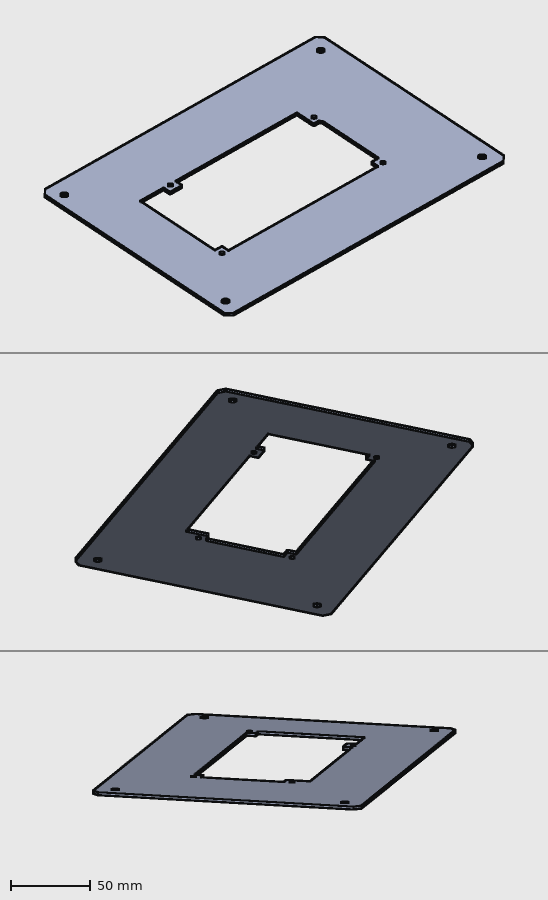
import cadquery as cq

plate_width = 174.7
plate_length = 240
plate_thickness = 2.0
corner_chamfer = 4.0

mount_hole_diameter = 4.8
mount_spacing_x = 149.8
mount_spacing_y = 220.0
mount_center_y = -1.0

window_half_width = 37.7
window_top = 60.2
window_bottom = -80.2

tab_reach = 6.0
top_left_tab_width = 15.5
top_left_tab_chamfer = 1.5
side_tab_width = 10.3
side_tab_center_y = -55.0

tab_hole_diameter = 3.0
corner_hole_x = 37.0
top_left_hole_x = -27.0
top_hole_y = 59.0
bottom_hole_y = -79.0
side_hole_x = -37.0


def make_plate():
    plate = cq.Workplane("XY").box(plate_width, plate_length, plate_thickness)
    return plate.edges("|Z").chamfer(corner_chamfer)


def make_window():
    """Through-cutting block whose outline steps around the four tabs."""
    left = -window_half_width
    right = window_half_width
    side_tab_top = side_tab_center_y + side_tab_width / 2
    side_tab_bottom = side_tab_center_y - side_tab_width / 2
    outline = [
        (left, window_bottom),
        (right - tab_reach, window_bottom),
        (right - tab_reach, window_bottom + tab_reach),
        (right, window_bottom + tab_reach),
        (right, window_top - tab_reach),
        (right - tab_reach, window_top - tab_reach),
        (right - tab_reach, window_top),
        (left + top_left_tab_width + top_left_tab_chamfer, window_top),
        (left + top_left_tab_width, window_top - top_left_tab_chamfer),
        (left + top_left_tab_width, window_top - tab_reach),
        (left, window_top - tab_reach),
        (left, side_tab_top),
        (left + tab_reach, side_tab_top),
        (left + tab_reach, side_tab_bottom),
        (left, side_tab_bottom),
    ]
    return cq.Workplane("XY").polyline(outline).close().extrude(plate_thickness, both=True)


def drill_mount_holes(plate):
    holes = plate.faces(">Z").workplane(origin=(0, mount_center_y, 0))
    return holes.rarray(mount_spacing_x, mount_spacing_y, 2, 2).hole(mount_hole_diameter)


def drill_tab_holes(plate):
    centers = [
        (top_left_hole_x, top_hole_y),
        (corner_hole_x, top_hole_y),
        (corner_hole_x, bottom_hole_y),
        (side_hole_x, side_tab_center_y),
    ]
    holes = plate.faces(">Z").workplane(origin=(0, 0, 0))
    return holes.pushPoints(centers).hole(tab_hole_diameter)


result = make_plate().cut(make_window())
result = drill_mount_holes(result)
result = drill_tab_holes(result)